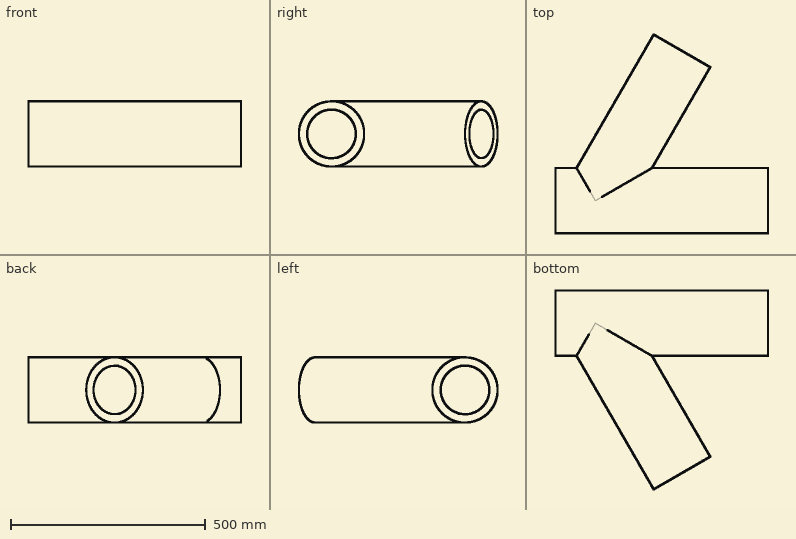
import cadquery as cq
import math

run_length = 546.0
outer_diameter = 168.0
bore_diameter = 124.5
junction_x = 102.5
branch_length = 444.5
branch_angle = 60.0

run_start = cq.Vector(0, 0, 0)
run_direction = cq.Vector(1, 0, 0)
junction = cq.Vector(junction_x, 0, 0)
angle = math.radians(branch_angle)
branch_direction = cq.Vector(math.cos(angle), math.sin(angle), 0)


def straight_cylinder(diameter, length, start, direction):
    """Solid cylinder that begins at start and runs along direction."""
    return cq.Workplane(obj=cq.Solid.makeCylinder(diameter / 2, length, start, direction))


def wye(diameter):
    """Run and branch cylinders of one diameter, joined at the junction."""
    run = straight_cylinder(diameter, run_length, run_start, run_direction)
    branch = straight_cylinder(diameter, branch_length, junction, branch_direction)
    return run.union(branch)


result = wye(outer_diameter).cut(wye(bore_diameter))